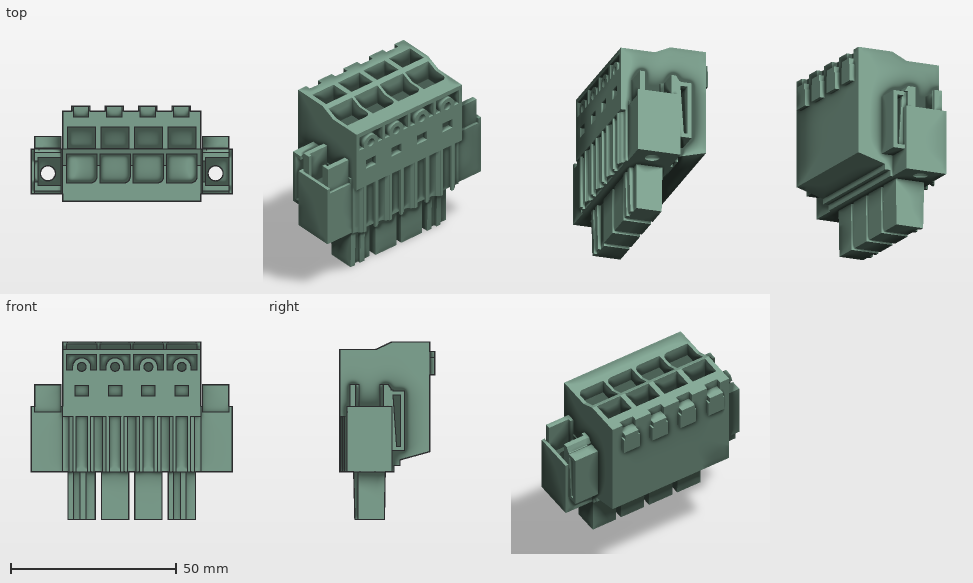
import cadquery as cq
import math


POLES = 4
PITCH = 10.1
OVERALL_X = 60.9
OVERALL_Y = 28.9
OVERALL_Z = 53.9
POLE_X = [(i - (POLES - 1) / 2) * PITCH for i in range(POLES)]

HOUSING_X = 41.85
HOUSING_REAR = 27.35
LEG_HEIGHT = 14.5
FRONT_TOP = 51.6
RIDGE_Y = 15.9
SLOPE_FOOT_Y = 10.95
STEP_LOW = (16.55, 16.4)
STEP_HIGH = (18.35, 18.1)
REAR_FOOT_Z = 20.6

WIRE_POCKET = (9.25, 8.85)
WIRE_POCKET_Y = 5.6
WIRE_POCKET_FLOOR = 46.7
WIRE_POCKET_RADIUS = 2.0
RELEASE_POCKET = (8.45, 6.5)
RELEASE_POCKET_Y = 16.0
RELEASE_POCKET_DEPTH = 9.75

TEST_RECESS_X = 9.1
TEST_RECESS_Z = (45.3, 50.1)
TEST_RECESS_DEPTH = 4.25
TEST_BOSS_RADIUS = 2.75
TEST_HOLE_RADIUS = 1.35
TEST_AXIS_Z = 46.3
PROBE_X = 4.1
PROBE_Z = (37.5, 40.7)
PROBE_DEPTH = 1.9

FLUTE_TOP = 31.25
RIB_OUTER = 2.7
CHANNEL_X = 3.4
CHANNEL_LIP = 0.8
CHANNEL_FLOOR_X = 5.6
CHANNEL_DEPTH = 1.9
FLUTE_STEP = 0.25
FLUTE_BEND_X = 1.3
FLUTE_BEND_DEPTH = 0.85
FLUTE_DEPTH = 1.75

LEG_X = 8.35
LEG_REAR_TOP_Y = 13.9
LEG_REAR_TIP_Y = 13.65
PLAIN_FRONT_Y = 4.8
KEY_FLOOR_Y = 5.55
KEY_TOP_Y = 4.25
KEY_TIP_Y = 4.6
KEY_X = 1.7
SECOND_KEY_OFFSET = 3.7

LEVER_X_SHIFT = -0.215
STEM_X = 4.7
STEM_FRONT = 25.6
STEM_TOP = 51.0
LEVER_BOTTOM = 43.85
HEAD_X = 5.6
HEAD_TOP = 49.1

FLANGE_Y = (2.3, 15.85)
FLANGE_TOP = 34.35
FLANGE_WALL = 1.05
CORE_X = 8.05
CORE_Y = (3.2, 14.8)
CORE_TOP = 40.9
CORE_REAR_WALL = 1.5
CORE_FRONT_WALL = 1.65
CORE_LIP = 1.05
POCKET_FLOOR = 30.15
LIP_SLOT_FLOOR = 32.8
FRONT_LEDGE_Z = 32.65
SCREW_DIAMETER = 4.5
SCREW_Y = 8.5
HOOK_TIP_Z = 39.3
FRAME_Y = (16.2, 19.75)
FRAME_Z = (20.95, 39.05)
FRAME_WALL = 1.3
LEAF_INSET = 1.35
LEAF_FOOT_Y = 17.3


def box(x, y, z):
    """Box from (low, high) limits along each axis."""
    return cq.Workplane("XY").box(x[1] - x[0], y[1] - y[0], z[1] - z[0], centered=False).translate(
        (x[0], y[0], z[0])
    )


def centred(middle, width):
    return (middle - width / 2, middle + width / 2)


def side_prism(points, x):
    """Y-Z polygon swept between two X limits."""
    return cq.Workplane("YZ").polyline(points).close().extrude(x[1] - x[0]).translate((x[0], 0, 0))


def housing_blank():
    profile = [
        (0, LEG_HEIGHT),
        (STEP_LOW[0], LEG_HEIGHT),
        STEP_LOW,
        (STEP_HIGH[0], STEP_LOW[1]),
        STEP_HIGH,
        (HOUSING_REAR, REAR_FOOT_Z),
        (HOUSING_REAR, OVERALL_Z),
        (RIDGE_Y, OVERALL_Z),
        (SLOPE_FOOT_Y, FRONT_TOP),
        (0, FRONT_TOP),
    ]
    return side_prism(profile, centred(0, HOUSING_X))


def top_pockets(x):
    wire = box(
        centred(x, WIRE_POCKET[0]),
        (WIRE_POCKET_Y, WIRE_POCKET_Y + WIRE_POCKET[1]),
        (WIRE_POCKET_FLOOR, OVERALL_Z),
    )
    wire = wire.edges("|Z and >X and <Y").fillet(WIRE_POCKET_RADIUS)
    release = box(
        centred(x, RELEASE_POCKET[0]),
        (RELEASE_POCKET_Y, RELEASE_POCKET_Y + RELEASE_POCKET[1]),
        (OVERALL_Z - RELEASE_POCKET_DEPTH, OVERALL_Z),
    )
    return wire.union(release)


def front_cylinder(x, radius):
    """Cylinder along Y, sunk into the front face on the test-point axis."""
    base = cq.Workplane("XZ", origin=(x, TEST_RECESS_DEPTH, TEST_AXIS_Z))
    return base.circle(radius).extrude(TEST_RECESS_DEPTH)


def front_openings(x):
    """Recess around an arched boss with a test hole, and a probe window below it."""
    sunk = (0, TEST_RECESS_DEPTH)
    recess = box(centred(x, TEST_RECESS_X), sunk, TEST_RECESS_Z)
    boss_foot = box(centred(x, 2 * TEST_BOSS_RADIUS), sunk, (TEST_RECESS_Z[0], TEST_AXIS_Z))
    recess = recess.cut(boss_foot).cut(front_cylinder(x, TEST_BOSS_RADIUS))
    probe = box(centred(x, PROBE_X), (0, PROBE_DEPTH), PROBE_Z)
    return recess.union(front_cylinder(x, TEST_HOLE_RADIUS)).union(probe)


def flute(x):
    """Groove between two poles: a step, a slanted flank and a round bottom on each side."""
    mouth = PITCH / 2 - RIB_OUTER
    rise = FLUTE_DEPTH - FLUTE_BEND_DEPTH
    radius = (FLUTE_BEND_X**2 + rise**2) / (2 * rise)
    half_angle = math.asin(FLUTE_BEND_X / radius) / 2
    mid_x = radius * math.sin(half_angle)
    mid_depth = FLUTE_DEPTH - radius * (1 - math.cos(half_angle))
    outline = (
        cq.Workplane("XY", origin=(x, 0, LEG_HEIGHT))
        .moveTo(-mouth, 0)
        .lineTo(-mouth, FLUTE_STEP)
        .lineTo(-FLUTE_BEND_X, FLUTE_BEND_DEPTH)
        .threePointArc((-mid_x, mid_depth), (0, FLUTE_DEPTH))
        .threePointArc((mid_x, mid_depth), (FLUTE_BEND_X, FLUTE_BEND_DEPTH))
        .lineTo(mouth, FLUTE_STEP)
        .lineTo(mouth, 0)
        .close()
    )
    return outline.extrude(FLUTE_TOP - LEG_HEIGHT)


def channel(x):
    """T-shaped channel at a pole: a narrow mouth between two lips and a wider floor."""
    height = (LEG_HEIGHT, FLUTE_TOP)
    mouth = box(centred(x, CHANNEL_X), (0, CHANNEL_DEPTH), height)
    return mouth.union(box(centred(x, CHANNEL_FLOOR_X), (CHANNEL_LIP, CHANNEL_DEPTH), height))


def leg_blank(x, front_top_y, front_tip_y):
    profile = [
        (front_tip_y, 0),
        (LEG_REAR_TIP_Y, 0),
        (LEG_REAR_TOP_Y, LEG_HEIGHT),
        (front_top_y, LEG_HEIGHT),
    ]
    return side_prism(profile, x)


def plain_leg(x):
    return leg_blank(centred(x, LEG_X), PLAIN_FRONT_Y, PLAIN_FRONT_Y)


def keyed_leg(x):
    """Leg whose front carries two raised keys: one along its -X edge, one past its middle."""
    limits = centred(x, LEG_X)
    body = leg_blank(limits, KEY_FLOOR_Y, KEY_FLOOR_Y)
    for key_start in (limits[0], limits[0] + SECOND_KEY_OFFSET):
        key_limits = (key_start, key_start + KEY_X)
        body = body.union(leg_blank(key_limits, KEY_TOP_Y, KEY_TIP_Y))
    return body


def lever_stem(x, top):
    return box(centred(x, STEM_X), (STEM_FRONT, HOUSING_REAR), (LEVER_BOTTOM, top))


def make_housing():
    body = housing_blank()
    for i, x in enumerate(POLE_X):
        body = body.cut(top_pockets(x)).cut(front_openings(x)).cut(channel(x))
        body = body.cut(lever_stem(x + LEVER_X_SHIFT, OVERALL_Z))
        is_end_pole = i in (0, POLES - 1)
        body = body.union(keyed_leg(x) if is_end_pole else plain_leg(x))
    for i in range(POLES + 1):
        body = body.cut(flute((i - POLES / 2) * PITCH))
    return body


def make_lever(x):
    """T-shaped lever: a stem in the rear-wall slot and a wider, lower head behind the wall."""
    behind = (HOUSING_REAR, OVERALL_Y)
    stem = lever_stem(x, STEM_TOP).union(box(centred(x, STEM_X), behind, (LEVER_BOTTOM, STEM_TOP)))
    return stem.union(box(centred(x, HEAD_X), behind, (LEVER_BOTTOM, HEAD_TOP)))


def latch(core_x):
    """Open frame behind the flange, carried by a leaf that thickens downward."""
    frame = box(core_x, FRAME_Y, FRAME_Z)
    frame = frame.union(box(core_x, (FLANGE_Y[1], FRAME_Y[0]), (FRAME_Z[0], FRAME_Z[0] + FRAME_WALL)))
    window_z = (FRAME_Z[0] + FRAME_WALL, FRAME_Z[1] - FRAME_WALL)
    frame = frame.cut(box(core_x, (FLANGE_Y[1], FRAME_Y[1] - FRAME_WALL), window_z))
    leaf = [
        (CORE_Y[1], HOOK_TIP_Z),
        (FRAME_Y[0], HOOK_TIP_Z),
        (FRAME_Y[0], window_z[1]),
        (LEAF_FOOT_Y, window_z[0]),
        (CORE_Y[1], window_z[0]),
    ]
    return frame.union(side_prism(leaf, (core_x[0] + LEAF_INSET, core_x[1])))


def make_flange(side):
    """Flange at the -X (side = -1) or +X (side = 1) end; the core faces the same way at both."""
    limits = sorted((side * HOUSING_X / 2, side * OVERALL_X / 2))
    core_middle = side * (OVERALL_X / 2 - FLANGE_WALL - CORE_X / 2)
    core_x = centred(core_middle, CORE_X)

    body = box(limits, FLANGE_Y, (LEG_HEIGHT, FLANGE_TOP))
    ledge = box(core_x, (FLANGE_Y[0], CORE_Y[0]), (FRONT_LEDGE_Z, FLANGE_TOP))
    core = box(core_x, CORE_Y, (FLANGE_TOP, CORE_TOP))
    hook = side_prism(
        [(CORE_Y[1], CORE_TOP), (FLANGE_Y[1], HOOK_TIP_Z), (CORE_Y[1], HOOK_TIP_Z)], core_x
    )
    body = body.cut(ledge).union(core).union(hook).union(latch(core_x))

    pocket_y = (CORE_Y[0] + CORE_FRONT_WALL, CORE_Y[1] - CORE_REAR_WALL)
    pocket = box((core_x[0] + CORE_LIP, core_x[1]), pocket_y, (POCKET_FLOOR, CORE_TOP))
    slot_y = (pocket_y[0] + CORE_LIP, pocket_y[1] - CORE_LIP)
    lip_slot = box((core_x[0], core_x[0] + CORE_LIP), slot_y, (LIP_SLOT_FLOOR, CORE_TOP))
    screw_hole = (
        cq.Workplane("XY", origin=(core_middle, SCREW_Y, LEG_HEIGHT))
        .circle(SCREW_DIAMETER / 2)
        .extrude(POCKET_FLOOR - LEG_HEIGHT)
    )
    return body.cut(pocket).cut(lip_slot).cut(screw_hole)


housing = make_housing()
levers = [make_lever(x + LEVER_X_SHIFT) for x in POLE_X]
flanges = [make_flange(side) for side in (-1, 1)]

result = cq.Compound.makeCompound(
    [housing.val(), *[lever.val() for lever in levers], *[flange.val() for flange in flanges]]
)